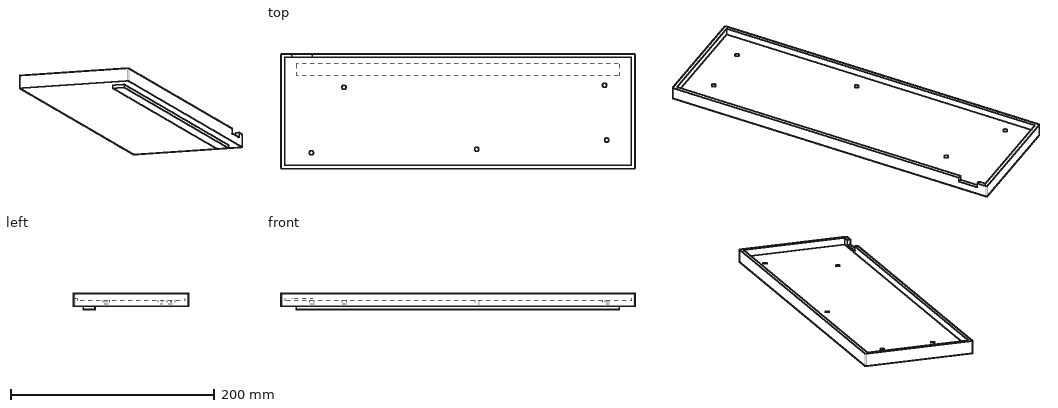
import cadquery as cq

length = 348.0
width = 113.0
total_height = 16.0
foot_height = 3.0
tray_height = total_height - foot_height
wall = 3.5
floor_thickness = 6.0
corner_radius = 1.0

foot_length = 317.7
foot_width = 12.0
foot_left_gap = 15.0
foot_back_gap = 9.5

notch_left_gap = 10.8
notch_length = 20.2
notch_sill = 2.0

hole_diameter = 4.2
hole_depth = 3.0
hole_centers = [
    (-112.0, 23.5),
    (144.0, 25.8),
    (146.0, -28.2),
    (-144.0, -40.7),
    (18.5, -37.2),
]


def make_tray():
    """Open box with rounded outer corners, its underside at Z = 0."""
    body = cq.Workplane("XY").box(length, width, tray_height, centered=(True, True, False))
    body = body.edges("|Z").fillet(corner_radius)
    cavity = (
        cq.Workplane("XY")
        .workplane(offset=floor_thickness)
        .rect(length - 2 * wall, width - 2 * wall)
        .extrude(tray_height - floor_thickness)
    )
    return body.cut(cavity)


def make_foot():
    """Long strip hanging below the tray."""
    center_x = -length / 2 + foot_left_gap + foot_length / 2
    center_y = width / 2 - foot_back_gap - foot_width / 2
    return (
        cq.Workplane("XY")
        .center(center_x, center_y)
        .rect(foot_length, foot_width)
        .extrude(-foot_height)
    )


def make_notch():
    """Opening through the back wall that leaves a low sill above the floor."""
    sill_z = floor_thickness + notch_sill
    return (
        cq.Workplane("XY")
        .box(notch_length, wall, tray_height - sill_z, centered=False)
        .translate((-length / 2 + notch_left_gap, width / 2 - wall, sill_z))
    )


def make_holes():
    """Blind holes sunk from the floor surface."""
    return (
        cq.Workplane("XY")
        .workplane(offset=floor_thickness)
        .pushPoints(hole_centers)
        .circle(hole_diameter / 2)
        .extrude(-hole_depth)
    )


result = make_tray().union(make_foot()).cut(make_notch()).cut(make_holes())